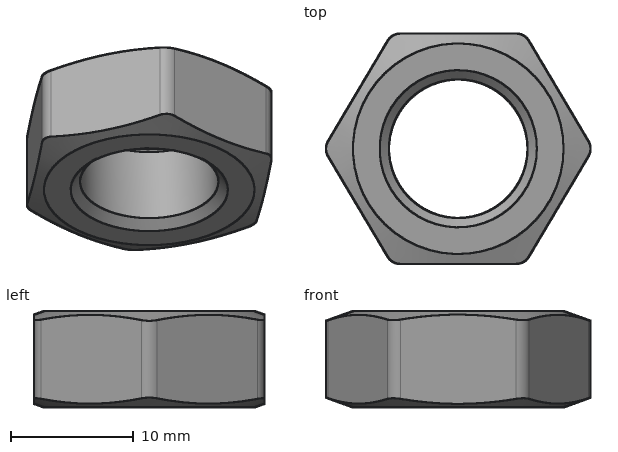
import cadquery as cq
import math

flats_across_y = 18.8
corners_across_x = 21.59
flat_angle = math.radians(59.3)
corner_radius = 1.2
height = 7.87

face_diameter = 17.17
chamfer_angle = math.radians(20)

bore_diameter = 11.28
countersink_diameter = 12.82
countersink_depth = (countersink_diameter - bore_diameter) / 2


def rounded_hexagon():
    """Hexagonal prism with flats facing +Y and -Y and rounded vertical corners."""
    half_flats = flats_across_y / 2
    rounding_loss = corner_radius * (1 / math.sin(flat_angle) - 1)
    tip_x = corners_across_x / 2 + rounding_loss
    shoulder_x = tip_x - half_flats / math.tan(flat_angle)
    corners = [
        (tip_x, 0),
        (shoulder_x, half_flats),
        (-shoulder_x, half_flats),
        (-tip_x, 0),
        (-shoulder_x, -half_flats),
        (shoulder_x, -half_flats),
    ]
    prism = cq.Workplane("XY").polyline(corners).close().extrude(height)
    return prism.edges("|Z").fillet(corner_radius)


def chamfer_envelope():
    """Disc, coned at both ends, that trims the prism's corners."""
    face_radius = face_diameter / 2
    rim_radius = corners_across_x / 2 + corner_radius
    cone_depth = (rim_radius - face_radius) * math.tan(chamfer_angle)
    profile = [
        (0, 0),
        (face_radius, 0),
        (rim_radius, cone_depth),
        (rim_radius, height - cone_depth),
        (face_radius, height),
        (0, height),
    ]
    return cq.Workplane("XZ").polyline(profile).close().revolve(360, (0, 0, 0), (0, 1, 0))


def countersunk_bore():
    """Through bore, opened out by a 45 degree countersink at each end."""
    bore_radius = bore_diameter / 2
    mouth_radius = countersink_diameter / 2
    profile = [
        (0, 0),
        (mouth_radius, 0),
        (bore_radius, countersink_depth),
        (bore_radius, height - countersink_depth),
        (mouth_radius, height),
        (0, height),
    ]
    return cq.Workplane("XZ").polyline(profile).close().revolve(360, (0, 0, 0), (0, 1, 0))


nut = rounded_hexagon().intersect(chamfer_envelope()).cut(countersunk_bore())
result = nut.translate((0, 0, -height / 2))